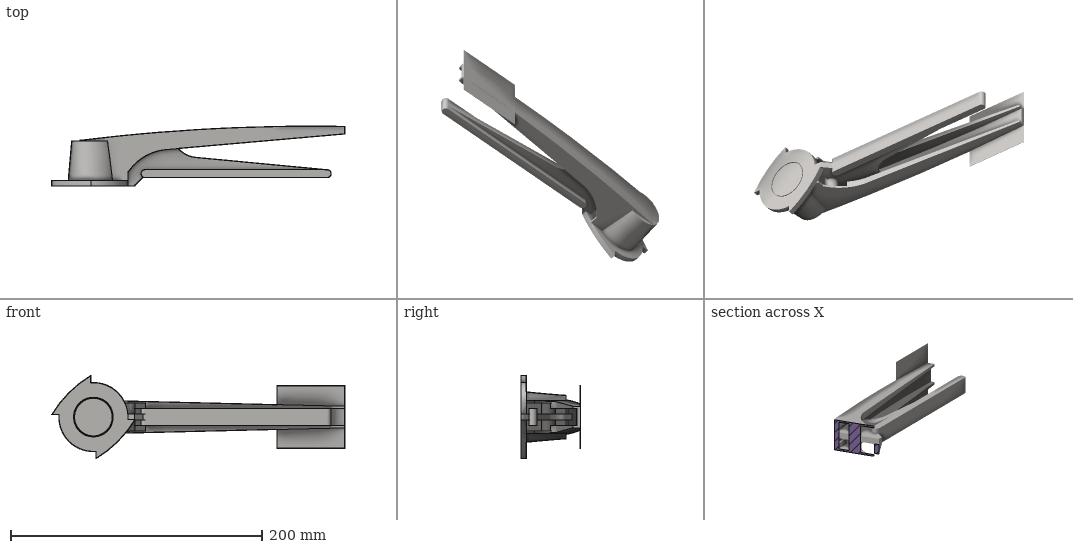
import cadquery as cq
import math

flange_radius = 27.5
flange_thickness = 4.5
tooth_reach = 33.15
tooth_offset = 1.9
button_diameter = 30.0
groove_diameter = 31.5
groove_depth = 1.0

hub_top_radius = 17.3
hub_top = 36.0
hub_draft = math.radians(5)

arm_start = -10.5
arm_end = 200.0
arm_start_half_width = 13.7
arm_end_half_width = 8.6
back_radius = 1500.0
back_peak_x = 173.0
back_peak_y = 47.71
web_thickness = 3.0
channel_width = 13.3
underside_angle = math.radians(5)
underside_end_y = 41.4
throat_end_x = 55.5
throat_mid = (38.9, 22.3)
throat_start = (flange_radius, 11.0)

plate_length = 54.0
plate_height = 50.0
plate_thickness = 0.2
plate_back_y = 47.5

barrel_diameter = 11.0
barrel_y = 22.0
pocket_end = 41.4
pocket_width = 22.0
pocket_floor = hub_top

bar_start = 38.0
bar_end = 189.2
bar_bottom = 6.7
bar_thickness = 6.3
bar_corner_radius = 3.1
rib_thickness = 5.0
hook_toe_x = 32.8
hook_bottom = 0.2
rib_tip_x = 186.0
rib_bend = (81.0, 22.9)
rib_root_x = 63.0
rib_bend_radius = 20.0


def back_y(x, inset=0.0):
    """Height of the bowed back, or of the curve lying `inset` inside it."""
    radius = back_radius - inset
    centre_y = back_peak_y - back_radius
    return centre_y + math.sqrt(radius**2 - (x - back_peak_x) ** 2)


def underside_y(x):
    """Height of the straight sloping underside of the arm."""
    return underside_end_y - (arm_end - x) * math.tan(underside_angle)


def slab(outline, width):
    """Extrude an XY outline to a width centred on Z = 0."""
    return outline.close().extrude(width / 2, both=True)


def bowed_outline(x_start, x_end, inset=0.0):
    """Begin an outline with the bowed curve from x_end back to x_start."""
    x_mid = (x_start + x_end) / 2
    return (
        cq.Workplane("XY")
        .moveTo(x_end, back_y(x_end, inset))
        .threePointArc((x_mid, back_y(x_mid, inset)), (x_start, back_y(x_start, inset)))
    )


def make_flange():
    """Disc whose two halves, half a turn apart, each carry a bulged edge between two teeth."""
    arc_mid = flange_radius / math.sqrt(2)
    step = math.sqrt(flange_radius**2 - tooth_offset**2)
    outline = cq.Workplane("XZ").moveTo(-step, tooth_offset)
    for side in (1, -1):
        outline = (
            outline.lineTo(-side * tooth_reach, side * tooth_offset)
            .threePointArc((-side * arc_mid, side * arc_mid), (-side * tooth_offset, side * tooth_reach))
            .lineTo(-side * tooth_offset, side * step)
            .threePointArc((side * arc_mid, side * arc_mid), (side * step, -side * tooth_offset))
        )
    return outline.close().extrude(-flange_thickness)


def make_button_groove():
    ring = cq.Workplane("XZ").circle(groove_diameter / 2).circle(button_diameter / 2)
    return ring.extrude(-groove_depth)


def make_hub():
    base_radius = hub_top_radius + (hub_top - flange_thickness) * math.tan(hub_draft)
    half_section = [
        (0, flange_thickness),
        (base_radius, flange_thickness),
        (hub_top_radius, hub_top),
        (0, hub_top),
    ]
    return cq.Workplane("XY").polyline(half_section).close().revolve(360, (0, 0), (0, 1))


def make_arm():
    profile = (
        bowed_outline(arm_start, arm_end)
        .lineTo(arm_start, flange_thickness)
        .lineTo(flange_radius, flange_thickness)
        .lineTo(*throat_start)
        .threePointArc(throat_mid, (throat_end_x, underside_y(throat_end_x)))
        .lineTo(arm_end, underside_end_y)
    )
    plan = [
        (arm_start, arm_start_half_width),
        (arm_end, arm_end_half_width),
        (arm_end, -arm_end_half_width),
        (arm_start, -arm_start_half_width),
    ]
    taper = cq.Workplane("XZ").polyline(plan).close().extrude(-back_peak_y)
    return slab(profile, 2 * arm_start_half_width).intersect(taper)


def make_pocket():
    """Flat-floored space round the pivot barrel, open towards -Y."""
    start = flange_radius - barrel_diameter / 2
    depth = pocket_floor - flange_thickness
    box = cq.Workplane("XY").box(pocket_end - start, depth, pocket_width, centered=(False, False, True))
    return box.translate((start, flange_thickness, 0))


def make_channel():
    """Space under the web from the pivot to the arm tip, open towards -Y."""
    outline = (
        bowed_outline(flange_radius, arm_end, web_thickness)
        .lineTo(flange_radius, flange_thickness)
        .lineTo(arm_end, flange_thickness)
    )
    return slab(outline, channel_width)


def make_plate():
    plate = cq.Workplane("XY").box(
        plate_length, plate_thickness, plate_height, centered=(False, False, True)
    )
    return plate.translate((arm_end - plate_length, plate_back_y - plate_thickness, 0))


def make_barrel():
    circle = cq.Workplane("XY").center(flange_radius, barrel_y).circle(barrel_diameter / 2)
    return circle.extrude(pocket_width / 2, both=True)


def make_bar():
    bar = cq.Workplane("XY").box(
        bar_end - bar_start, bar_thickness, channel_width, centered=(False, False, True)
    )
    rounded = bar.edges("|Z").fillet(bar_corner_radius)
    return rounded.translate((bar_start, bar_bottom, 0))


def make_rib():
    """Hook and tapering rib, rooted halfway into the web of the arm."""
    bar_top = bar_bottom + bar_thickness
    heel_x = hook_toe_x + bar_bottom - hook_bottom
    root_inset = web_thickness / 2
    outline = (
        cq.Workplane("XY")
        .moveTo(flange_radius, hook_bottom)
        .lineTo(hook_toe_x, hook_bottom)
        .lineTo(heel_x, bar_bottom)
        .lineTo(rib_tip_x, bar_bottom)
        .lineTo(rib_tip_x, bar_top)
        .lineTo(*rib_bend)
        .radiusArc((rib_root_x, back_y(rib_root_x, root_inset)), rib_bend_radius)
        .lineTo(flange_radius, back_y(flange_radius, root_inset))
    )
    return slab(outline, rib_thickness)


arm = make_arm().cut(make_pocket()).cut(make_channel())

result = make_flange().cut(make_button_groove())
for piece in (make_hub(), arm, make_plate(), make_barrel(), make_rib(), make_bar()):
    result = result.union(piece)